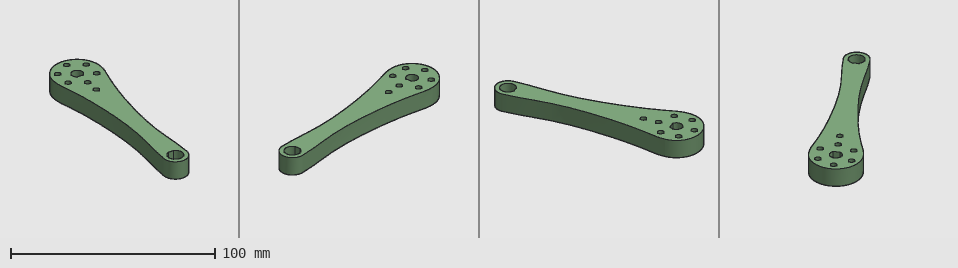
import cadquery as cq
import math

length = 110.0
thickness = 10.0
head_radius = 13.48
tip_radius = 6.6

tip_x = length - head_radius - tip_radius

side_points = [(9.7, 11.8), (36.1, 6.7), (67.1, 5.2)]

shaft_diameter = 6.3
shaft_flat_offset = 2.6
tip_hole_diameter = 8.3
tip_flat_offset = 3.9
bolt_diameter = 3.2
bolt_circle_radius = 9.6
bolt_count = 6
extra_hole_x = 17.6


def arm_body():
    """Plate with round ends joined by smooth, waisted sides."""
    upper_side = side_points + [(tip_x, tip_radius)]
    lower_side = [(x, -y) for x, y in reversed(side_points)] + [(0, -head_radius)]
    return (
        cq.Workplane("XY")
        .moveTo(0, head_radius)
        .spline(upper_side, tangents=[(1, 0), (1, 0)], includeCurrent=True)
        .threePointArc((tip_x + tip_radius, 0), (tip_x, -tip_radius))
        .spline(lower_side, tangents=[(-1, 0), (-1, 0)], includeCurrent=True)
        .threePointArc((-head_radius, 0), (0, head_radius))
        .close()
        .extrude(thickness)
    )


def d_hole_cutter(center_x, diameter, flat_offset, flat_side):
    """D-shaped through cutter; flat_side is +1 or -1 along X."""
    radius = diameter / 2
    flat_half_height = math.sqrt(radius**2 - flat_offset**2)
    flat_x = center_x + flat_side * flat_offset
    return (
        cq.Workplane("XY")
        .moveTo(flat_x, flat_half_height)
        .threePointArc((center_x - flat_side * radius, 0), (flat_x, -flat_half_height))
        .close()
        .extrude(thickness)
    )


def bolt_hole_cutter():
    """Ring of bolt holes around the shaft plus one further along the arm."""
    ring = (
        cq.Workplane("XY")
        .polarArray(bolt_circle_radius, 0, 360, bolt_count)
        .circle(bolt_diameter / 2)
        .extrude(thickness)
    )
    extra_hole = (
        cq.Workplane("XY")
        .center(extra_hole_x, 0)
        .circle(bolt_diameter / 2)
        .extrude(thickness)
    )
    return ring.union(extra_hole)


result = (
    arm_body()
    .cut(d_hole_cutter(0, shaft_diameter, shaft_flat_offset, 1))
    .cut(d_hole_cutter(tip_x, tip_hole_diameter, tip_flat_offset, -1))
    .cut(bolt_hole_cutter())
)